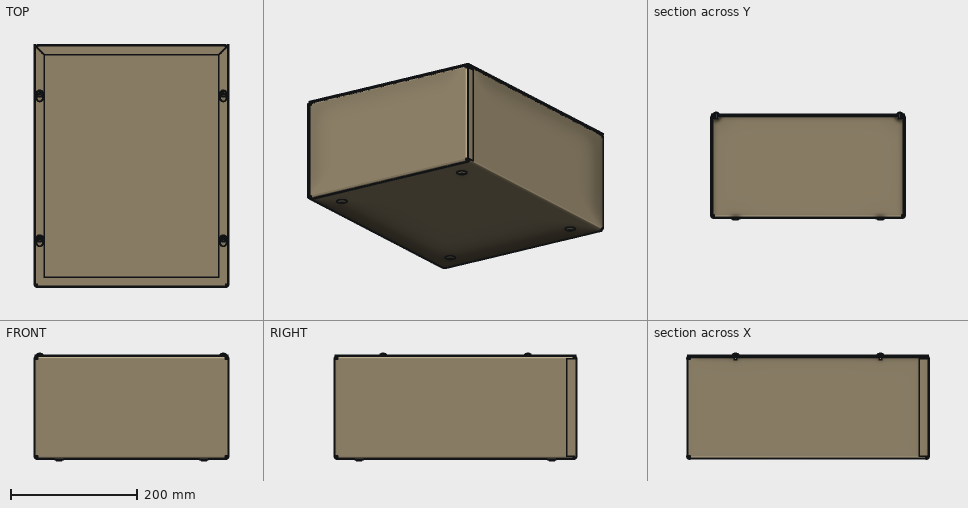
import cadquery as cq

WIDTH = 308.0
LENGTH = 384.0
TOTAL_HEIGHT = 170.0

SHEET = 1.5
BEND_RADIUS = 4.5
RIM_WIDTH = 15.5
SIDE_NOTCH = 2.3

LID_INSET = 1.5
SLOT_WIDTH = 9.5
SLOT_TRAVEL = 7.5

SCREW_X = 145.5
SCREW_Y = 115.0
HEAD_DIAMETER = 10.5
HEAD_HEIGHT = 2.5
SHANK_DIAMETER = 4.2
SHANK_LENGTH = 7.5
RECESS_LENGTH = 4.2
RECESS_WIDTH = 1.0
RECESS_DEPTH = 1.0

FOOT_X = 115.0
FOOT_Y = 153.0
FOOT_HEIGHT = 2.5
FOOT_BASE_DIAMETER = 16.0
FOOT_TIP_DIAMETER = 5.8

LID_TOP = TOTAL_HEIGHT / 2 - HEAD_HEIGHT
RIM_TOP = LID_TOP - SHEET
FLOOR_BOTTOM = FOOT_HEIGHT - TOTAL_HEIGHT / 2

BACK_Y = LENGTH / 2
PANEL_WIDTH = WIDTH - 2 * SHEET

SCREW_POINTS = [(x, y) for x in (-SCREW_X, SCREW_X) for y in (-SCREW_Y, SCREW_Y)]
FOOT_POINTS = [(x, y) for x in (-FOOT_X, FOOT_X) for y in (-FOOT_Y, FOOT_Y)]


def block(x_range, y_range, z_range):
    """Upright block given by its limits along each axis."""
    (x0, x1), (y0, y1), (z0, z1) = x_range, y_range, z_range
    size = (x1 - x0, y1 - y0, z1 - z0)
    return cq.Workplane("XY").box(*size, centered=False).translate((x0, y0, z0))


def centred_block(width, length, z_range):
    """Upright block centred on the Z axis."""
    return block((-width / 2, width / 2), (-length / 2, length / 2), z_range)


def posts(points, diameter, z_range):
    """Upright cylinders at the given points."""
    z0, z1 = z_range
    plane = cq.Workplane("XY", origin=(0, 0, z0))
    return plane.pushPoints(points).circle(diameter / 2).extrude(z1 - z0)


def rounded_block(width, inset, radius, upright_edges):
    """Block inset from the box faces, rounded along X, along Y and on the chosen upright edges."""
    z_range = (FLOOR_BOTTOM + inset, RIM_TOP - inset)
    plain = centred_block(width - 2 * inset, LENGTH - 2 * inset, z_range)
    along_x = plain.edges("|X").fillet(radius)
    along_y = plain.edges("|Y").fillet(radius)
    upright = plain.edges(upright_edges).fillet(radius)
    return along_x.intersect(along_y).intersect(upright)


def folded_sheet(width, upright_edges):
    """Sheet-metal box of the given width with an inward rim around its open top."""
    outside = rounded_block(width, 0, BEND_RADIUS, upright_edges)
    inside = rounded_block(width, SHEET, BEND_RADIUS - SHEET, upright_edges)
    opening = centred_block(
        WIDTH - 2 * RIM_WIDTH, LENGTH - 2 * RIM_WIDTH, (RIM_TOP - 2 * SHEET, RIM_TOP + SHEET)
    )
    return outside.cut(inside).cut(opening)


def corner_reliefs(y_side, height):
    """Notches in the two lower and two upper corners at the front (-1) or back (1)."""
    x = (WIDTH - BEND_RADIUS) / 2
    y = y_side * (LENGTH - BEND_RADIUS) / 2
    z_low = FLOOR_BOTTOM + height / 2
    z_high = RIM_TOP - height / 2
    centres = cq.Workplane("XY").pushPoints([(-x, y), (x, y)])
    reliefs = centres.box(BEND_RADIUS, BEND_RADIUS, height)
    return reliefs.translate((0, 0, z_low)).union(reliefs.translate((0, 0, z_high)))


def back_region():
    """Space that belongs to the back panel: its wall, side flanges and mitred rim."""
    half = PANEL_WIDTH / 2
    rim_inner_x = WIDTH / 2 - RIM_WIDTH
    bend_top = RIM_TOP - BEND_RADIUS
    bend_bottom = FLOOR_BOTTOM + BEND_RADIUS
    rim = (
        cq.Workplane("XY", origin=(0, 0, bend_top))
        .polyline([
            (-half, BACK_Y),
            (half, BACK_Y),
            (half, BACK_Y - SHEET),
            (rim_inner_x, BACK_Y - RIM_WIDTH),
            (-rim_inner_x, BACK_Y - RIM_WIDTH),
            (-half, BACK_Y - SHEET),
        ])
        .close()
        .extrude(BEND_RADIUS)
    )
    wall = block((-half, half), (BACK_Y - BEND_RADIUS, BACK_Y), (FLOOR_BOTTOM, bend_top))
    flanges = block((-half, half), (BACK_Y - RIM_WIDTH, BACK_Y), (bend_bottom, bend_top))
    return rim.union(wall).union(flanges)


def make_foot(x, y):
    return (
        cq.Workplane("XY", origin=(x, y, FLOOR_BOTTOM))
        .circle(FOOT_BASE_DIAMETER / 2)
        .workplane(offset=-FOOT_HEIGHT)
        .circle(FOOT_TIP_DIAMETER / 2)
        .loft()
    )


def make_shell():
    """Floor, front and side walls with their rims, on four feet."""
    shell = folded_sheet(WIDTH, "|Z and <Y").cut(back_region())
    shell = shell.cut(corner_reliefs(-1, BEND_RADIUS)).cut(corner_reliefs(1, SIDE_NOTCH))
    shell = shell.cut(posts(SCREW_POINTS, SHANK_DIAMETER, (RIM_TOP - SHEET, RIM_TOP)))
    for x, y in FOOT_POINTS:
        shell = shell.union(make_foot(x, y))
    return shell


def make_back_panel():
    """Back wall with flanges bent forward along the side walls and a rim mitred to theirs."""
    panel = folded_sheet(PANEL_WIDTH, "|Z").intersect(back_region())
    return panel.cut(corner_reliefs(1, BEND_RADIUS))


def make_lid():
    """Flat lid with a slot running forward from each screw."""
    lid = centred_block(WIDTH - 2 * LID_INSET, LENGTH - 2 * LID_INSET, (RIM_TOP, LID_TOP))
    slots = (
        cq.Workplane("XY", origin=(0, -SLOT_TRAVEL / 2, RIM_TOP))
        .pushPoints(SCREW_POINTS)
        .slot2D(SLOT_TRAVEL + SLOT_WIDTH, SLOT_WIDTH, angle=90)
        .extrude(SHEET)
    )
    return lid.cut(slots)


def make_screw(x, y):
    """Screw with a spherical-cap head resting on the lid and a shank through the rim."""
    head_top = LID_TOP + HEAD_HEIGHT
    head_radius = HEAD_DIAMETER / 2
    dome_radius = (head_radius**2 + HEAD_HEIGHT**2) / (2 * HEAD_HEIGHT)
    dome = cq.Workplane("XY", origin=(x, y, head_top - dome_radius)).sphere(dome_radius)
    head = posts([(x, y)], HEAD_DIAMETER, (LID_TOP, head_top)).intersect(dome)

    recess_floor = cq.Workplane("XY", origin=(x, y, head_top - RECESS_DEPTH))
    for length, width in ((RECESS_LENGTH, RECESS_WIDTH), (RECESS_WIDTH, RECESS_LENGTH)):
        head = head.cut(recess_floor.rect(length, width).extrude(RECESS_DEPTH))

    shank = posts([(x, y)], SHANK_DIAMETER, (LID_TOP - SHANK_LENGTH, LID_TOP))
    return head.union(shank)


shell = make_shell()
back_panel = make_back_panel()
lid = make_lid()
screws = [make_screw(x, y) for x, y in SCREW_POINTS]

result = cq.Compound.makeCompound([
    shell.val(),
    back_panel.val(),
    lid.val(),
    *[screw.val() for screw in screws],
])